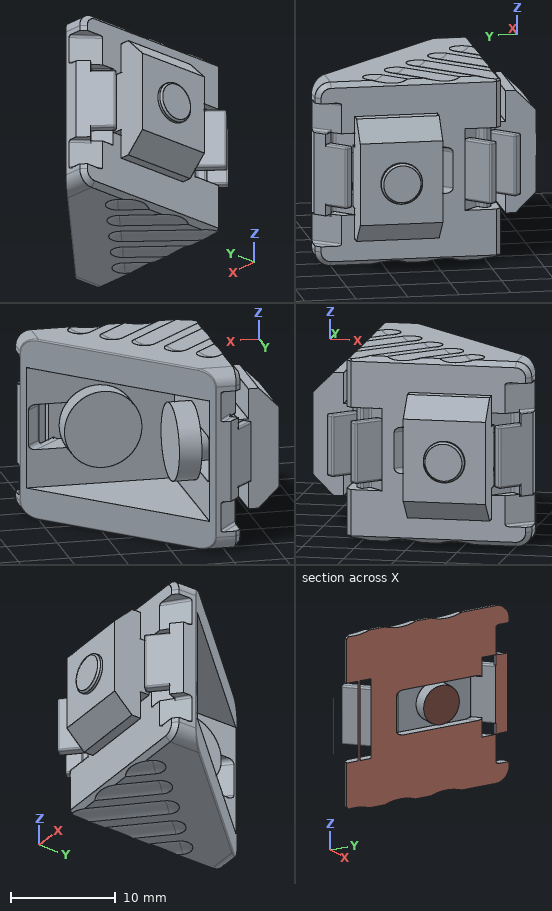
import cadquery as cq
import math


OVERALL = 23.0

LEG = 18.0
END_FLAT = 2.5
WALL = 3.0
EDGE_CHAMFER = 0.5
END_ROUND = 1.5
BACK_ROUND = 0.14
BLEND = 0.2
HALF_HEIGHT = LEG / 2
BEYOND = LEG

GROOVE_COUNT = 5
GROOVE_PITCH = 3.6
GROOVE_RADIUS = 2.5
GROOVE_DEPTH = 0.3
GROOVE_END_ALONG = 9.68

SLOT_INNER = 3.34
SLOT_OUTER = 10.12
SLOT_HEIGHT = 4.5
SLOT_CORNER = 0.5

TAB_THICKNESS = 0.97
TAB_ROUND = 0.172
TAB_HEIGHT = 6.0
INNER_TAB_OUTSIDE = 2.5
INNER_TAB_TIP = -0.5
OUTER_TAB_OUTSIDE = 12.0
OUTER_TAB_TIP = 9.65

RECESS_HEIGHT = 8.0
RECESS_FLOOR = 2.5
RIDGE_WIDTH = 1.0
RIDGE_TOP = 1.5

NOTCH_HEIGHT = 14.0
NOTCH_WALL = 10.97
NOTCH_DRAFT = 6.0
NOTCH_ROUND = 0.23
ROOT_START = 12.1
END_RECESS_INNER = 10.0
END_RECESS_FLOOR = 12.5

SCREW_OFFSET = 10.5
SCREW_DIAMETER = 4.0
SCREW_TIP_CHAMFER = 0.2
SCREW_REACH = OVERALL - LEG
HEAD_DIAMETER = 7.6
HEAD_HEIGHT = 2.2
NUT_WIDTH = 8.0
NUT_HEIGHT = 12.0
NUT_GAP = 0.53
NUT_TIP_GAP = 0.45
NUT_NECK_HEIGHT = 6.0
NUT_NECK_DEPTH = 1.0
NUT_BEVEL = 2.0


def diagonal(shape):
    """Turn a shape drawn with X along the diagonal and Y across it into place."""
    return shape.rotate((0, 0, 0), (0, 0, 1), 45)


def block(along, across, heights):
    """Box given by its (from, to) limits in each direction."""
    return cq.Workplane("XY").box(
        along[1] - along[0], across[1] - across[0], heights[1] - heights[0], centered=False
    ).translate((along[0], across[0], heights[0]))


def centred(height):
    return (-height / 2, height / 2)


def mirrored(across, side):
    """The (from, to) limits on the chosen side of the symmetry plane."""
    return tuple(sorted(side * value for value in across))


def prism(points, side, heights):
    """Upright prism over an outline of (along, across) points on the chosen side."""
    outline = [(along, side * across) for along, across in points]
    return cq.Workplane("XY").workplane(offset=heights[0]).polyline(outline).close().extrude(
        heights[1] - heights[0]
    )


def bracket_blank():
    outline = [(0, 0), (LEG, 0), (LEG, END_FLAT), (END_FLAT, LEG), (0, LEG)]
    blank = cq.Workplane("XY").polyline(outline).close().extrude(LEG).translate((0, 0, -HALF_HEIGHT))
    blank = blank.faces(">X or >Y").edges("<Z or >Z").fillet(END_ROUND)
    blank = blank.faces("<X or <Y").edges().chamfer(EDGE_CHAMFER)
    return blank.faces(">(1, 1, 0)").edges().fillet(BACK_ROUND)


def cavity():
    tip = LEG + END_FLAT - WALL
    height = LEG - 2 * WALL
    outline = [(WALL, WALL), (tip, WALL), (tip, tip), (WALL, tip)]
    return cq.Workplane("XY").polyline(outline).close().extrude(height).translate((0, 0, -height / 2))


def grooves():
    tools = []
    first = -(GROOVE_COUNT - 1) / 2 * GROOVE_PITCH
    axis_height = HALF_HEIGHT + GROOVE_RADIUS - GROOVE_DEPTH
    for index in range(GROOVE_COUNT):
        across = first + index * GROOVE_PITCH
        for level in (axis_height, -axis_height):
            bar = cq.Workplane("YZ").circle(GROOVE_RADIUS).extrude(-BEYOND)
            tool = bar.union(cq.Workplane("XY").sphere(GROOVE_RADIUS))
            tools.append(diagonal(tool.translate((GROOVE_END_ALONG, across, level))))
    return tools


def slot(side):
    limits = mirrored((SLOT_INNER, SLOT_OUTER), side)
    tool = block((0, BEYOND), limits, centred(SLOT_HEIGHT))
    return diagonal(tool.edges("|X").fillet(SLOT_CORNER))


def inner_recess():
    tool = block((-BEYOND, RECESS_FLOOR), (-INNER_TAB_OUTSIDE, INNER_TAB_OUTSIDE), centred(RECESS_HEIGHT))
    ridge = block((RIDGE_TOP, RECESS_FLOOR), centred(RIDGE_WIDTH), centred(RECESS_HEIGHT))
    tool = tool.cut(ridge)
    ridge_edges = cq.selectors.BoxSelector(
        (RIDGE_TOP - BLEND, -RIDGE_WIDTH, -LEG), (RECESS_FLOOR + BLEND, RIDGE_WIDTH, LEG)
    )
    return diagonal(tool.edges("|Z").edges(ridge_edges).fillet(BLEND))


def tab(tip, root, outside, side):
    limits = mirrored((outside - TAB_THICKNESS, outside), side)
    body = block((tip, root), limits, centred(TAB_HEIGHT))
    return diagonal(body.edges("not(>X)").fillet(TAB_ROUND))


def notch_wall(along):
    """Distance across of the drafted notch wall."""
    return NOTCH_WALL + (along - NOTCH_WALL) * math.tan(math.radians(NOTCH_DRAFT))


def root_inside(side):
    """Point where the front of the root meets the notch wall."""
    along = ROOT_START if side > 0 else END_RECESS_FLOOR
    return (along, notch_wall(along))


def end_notch(side):
    """Notch across the end of a leg that leaves the root of the outer tab standing."""
    start = NOTCH_WALL / 2
    inside = root_inside(side)
    opening = [(start, notch_wall(start)), (BEYOND, notch_wall(BEYOND)), (BEYOND, BEYOND), (start, BEYOND)]
    root = [(inside[0], 0), inside, (ROOT_START, OUTER_TAB_OUTSIDE), (BEYOND, OUTER_TAB_OUTSIDE), (BEYOND, 0)]

    slope = math.tan(math.radians(NOTCH_DRAFT))
    along_wall = cq.selectors.ParallelDirSelector(cq.Vector(1, side * slope, 0))
    tool = prism(opening, side, centred(NOTCH_HEIGHT)).cut(prism(root, side, centred(RECESS_HEIGHT)))
    return diagonal(tool.edges(along_wall).fillet(NOTCH_ROUND))


def end_recess(side):
    outer_limit = root_inside(side)[1]
    limits = mirrored((END_RECESS_INNER, outer_limit), side)
    tool = block((0, END_RECESS_FLOOR), limits, centred(RECESS_HEIGHT))
    inner_edge = "<Y" if side > 0 else ">Y"
    return diagonal(tool.edges("|Z").edges(">X").edges(inner_edge).fillet(BLEND))


def make_bracket():
    bracket = bracket_blank().cut(cavity())
    for tool in grooves():
        bracket = bracket.cut(tool)
    bracket = bracket.cut(inner_recess())
    for side in (1, -1):
        bracket = bracket.cut(slot(side)).cut(end_recess(side)).cut(end_notch(side))
    for side in (1, -1):
        bracket = bracket.union(tab(INNER_TAB_TIP, RECESS_FLOOR + BLEND, INNER_TAB_OUTSIDE, side))
        bracket = bracket.union(tab(OUTER_TAB_TIP, END_RECESS_FLOOR + BLEND, OUTER_TAB_OUTSIDE, side))
    return bracket


def make_screw():
    """Screw along Y through the mounting face at y = 0, its tip towards -Y."""
    shank = cq.Workplane("XZ").circle(SCREW_DIAMETER / 2).extrude(SCREW_REACH + WALL)
    shank = shank.faces("<Y").chamfer(SCREW_TIP_CHAMFER)
    head = cq.Workplane("XZ").circle(HEAD_DIAMETER / 2).extrude(-HEAD_HEIGHT)
    return shank.union(head).translate((0, WALL, 0))


def make_nut():
    """Slot nut around the screw axis, in front of the mounting face at y = 0."""
    top = -NUT_GAP
    shoulder = top - NUT_NECK_DEPTH
    bottom = NUT_TIP_GAP - SCREW_REACH
    neck = NUT_NECK_HEIGHT / 2
    wing = NUT_HEIGHT / 2
    half_profile = [(top, neck), (shoulder, neck), (shoulder, wing), (bottom + NUT_BEVEL, wing),
                    (bottom, wing - NUT_BEVEL)]
    profile = half_profile + [(y, -z) for y, z in reversed(half_profile)]
    nut = cq.Workplane("YZ").polyline(profile).close().extrude(NUT_WIDTH / 2, both=True)
    return nut.cut(cq.Workplane("XZ").circle(SCREW_DIAMETER / 2).extrude(SCREW_REACH))


def on_each_leg(part):
    """One copy on the -Y face and one on the -X face."""
    return [
        part.translate((SCREW_OFFSET, 0, 0)).val(),
        part.rotate((0, 0, 0), (0, 0, 1), -90).translate((0, SCREW_OFFSET, 0)).val(),
    ]


bracket = make_bracket()
screws = on_each_leg(make_screw())
nuts = on_each_leg(make_nut())

result = cq.Compound.makeCompound([bracket.val(), *screws, *nuts])